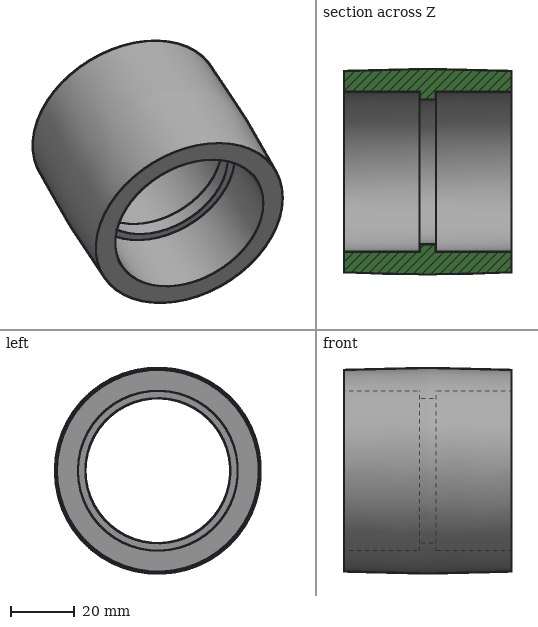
import cadquery as cq

length = 52.5
middle_diameter = 64.4
end_diameter = 63.1
socket_diameter = 50.0
bore_diameter = 45.2
stop_width = 5.15

half_length = length / 2
half_stop = stop_width / 2
middle_radius = middle_diameter / 2
end_radius = end_diameter / 2
socket_radius = socket_diameter / 2
bore_radius = bore_diameter / 2

section = (
    cq.Workplane("XY")
    .moveTo(-half_length, end_radius)
    .lineTo(0, middle_radius)
    .lineTo(half_length, end_radius)
    .lineTo(half_length, socket_radius)
    .lineTo(half_stop, socket_radius)
    .lineTo(half_stop, bore_radius)
    .lineTo(-half_stop, bore_radius)
    .lineTo(-half_stop, socket_radius)
    .lineTo(-half_length, socket_radius)
    .close()
)

result = section.revolve(360, (0, 0, 0), (1, 0, 0))